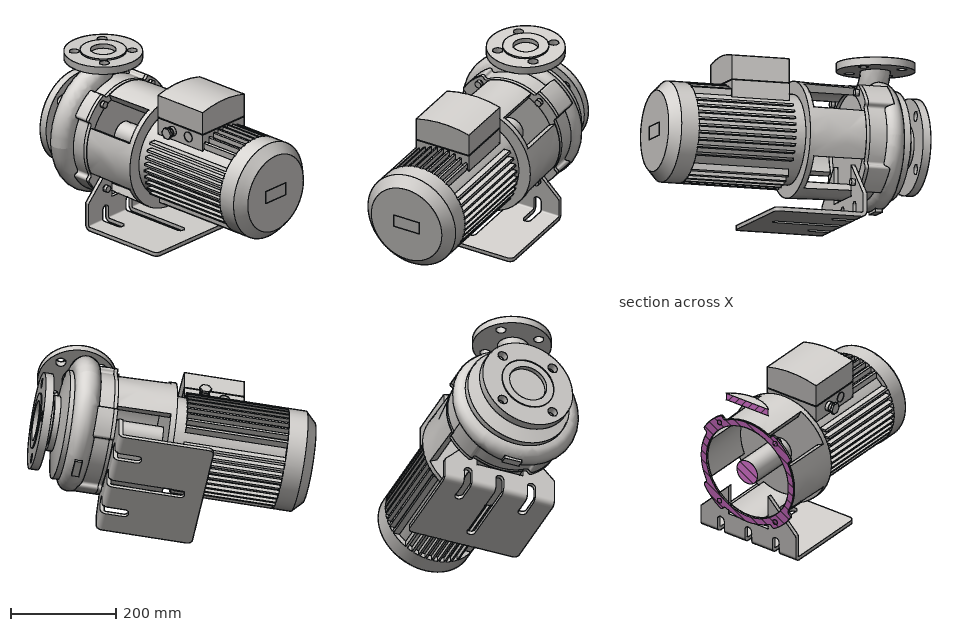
import cadquery as cq
import math


TOTAL_LENGTH = 528.0
DISCHARGE_HEIGHT = 160.0
FOOT_DEPTH = 160.0
VOLUTE_X = 80.0

BORE_DEPTH = 9.0
PIPE_WALL = 5.0
FLANGE_HOLE_D = 19.0
SUCTION_D = 185.0
SUCTION_BORE_D = 76.1
SUCTION_PCD = 145.0
SUCTION_THICKNESS = 16.0
SUCTION_FACE_D = 106.1
SUCTION_FACE_HEIGHT = 2.0
DISCHARGE_D = 150.0
DISCHARGE_BORE_D = 48.3
DISCHARGE_PCD = 110.0
DISCHARGE_THICKNESS = 15.0
DISCHARGE_FACE_D = 88.0
DISCHARGE_FACE_HEIGHT = 3.0

HUB_X = 27.5
COVER_X = 38.7
COVER_RIM_X = 47.2
COVER_D = 208.36
CASING_BACK_X = 132.0
BACK_R = 110.0
PAD_R = 120.7
PAD_HALF_ANGLE = 15.0
PAD_FILLET = 5.0
VOLUTE_MIN_OUTER_R = 120.0
VOLUTE_MAX_OUTER_R = 134.91
VOLUTE_MIN_R = 20.0
VOLUTE_MAX_R = 25.0
VOLUTE_TONGUE_ANGLE = 60.0
SPIRAL_SECTIONS = 13
OUTLET_SECTIONS = 25
DRAIN_LENGTH = 14.0
DRAIN_WIDTH = 35.0
DRAIN_Z = -131.5

LANTERN_PLATE = 7.0
LANTERN_BORE_R = 96.5
STRUT_INNER_R = 95.5
STRUT_FRONT_R = 109.0
STRUT_HALF_ANGLE = 25.3
REAR_DISC_X = 242.0
REAR_DISC_THICKNESS = 11.0
REAR_DISC_D = 223.0

BOLT_Y = 66.0
BOLT_Z = 86.5
BOLT_HEAD_D = 13.0
BOLT_HEAD_HEIGHT = 8.0
BOLT_SHANK_D = 9.0
BOLT_ENGAGEMENT = 20.0

FOOT_PLATE = 8.0
FOOT_WIDTH = 225.0
FOOT_END_X = 323.5
FOOT_CORNER_R = 10.0
FOOT_BEND_R = 3.0
FOOT_SHOULDER_NEAR_Z = -104.0
FOOT_SHOULDER_FAR_Z = -115.0
FOOT_SLOT_WIDTH = 16.0
FOOT_SLOT_PITCH = 65.0
FOOT_SLOT_TOP_Z = -123.0
FOOT_SIDE_SLOT_END_X = 192.0
FOOT_MIDDLE_SLOT_END_X = 288.0
FOOT_SHOULDER_R = 5.0

SHAFT_D = 50.0
MOTOR_BODY_D = 173.0
MOTOR_D = 193.0
FIN_START_X = 276.0
FIN_END_X = 472.0
FIN_THICKNESS = 3.6
FIN_PITCH = 13.15
FINS_PER_SIDE = 9
COWL_CONE_X = 507.7
COWL_END_X = 527.0
COWL_END_D = 155.0
BADGE_WIDTH = 56.0
BADGE_HEIGHT = 25.0

BOX_LENGTH = 116.0
BOX_WIDTH = 116.0
BOX_BOTTOM_Z = 63.0
BOX_EDGE_Z = 144.8
BOX_CROWN_Z = 152.5
BOX_JOINT_Z = 97.8
BOX_JOINT_SIZE = 1.0
ENTRY_Z = 82.2
GLAND_X = 314.0
BLANK_X = 354.0
BLANK_D = 20.0
BLANK_DEPTH = 1.0
GLAND_COLLAR_D = 19.0
GLAND_COLLAR_LENGTH = 7.0
GLAND_NECK_D = 16.0
GLAND_NECK_LENGTH = 6.0
GLAND_HEX_FLATS = 20.0
GLAND_HEX_LENGTH = 5.0
GLAND_HEX_TURN = 30.0

LANTERN_STRUT_X = CASING_BACK_X + LANTERN_PLATE
MOTOR_X = REAR_DISC_X + REAR_DISC_THICKNESS
FOOT_BACK_X = LANTERN_STRUT_X + FOOT_PLATE
DIAGONALS = (45, 135, 225, 315)
SIDES = (-1, 1)


def rod(x_start, x_end, diameter, y=0.0, z=0.0):
    """Cylinder along X."""
    return cq.Workplane("YZ", origin=(x_start, y, z)).circle(diameter / 2).extrude(x_end - x_start)


def block(x_start, x_end, y_start, y_end, z_start, z_end):
    size = (x_end - x_start, y_end - y_start, z_end - z_start)
    return cq.Workplane("XY").box(*size, centered=False).translate((x_start, y_start, z_start))


def turned(profile, angle=360):
    """Solid turned about the X axis from (x, radius) points, starting on the +Y side."""
    return cq.Workplane("XY").polyline(profile).close().revolve(angle, (0, 0, 0), (1, 0, 0))


def polar(radius, angle):
    """(y, z) at a radius and an angle in degrees."""
    return (radius * math.cos(math.radians(angle)), radius * math.sin(math.radians(angle)))


def padded_disc(x_start, x_end):
    """Round disc with four filleted bolting pads on its diagonals."""
    gap_angle = 45 - PAD_HALF_ANGLE
    outline = cq.Workplane("YZ", origin=(x_start, 0, 0)).moveTo(*polar(BACK_R, -gap_angle))
    for diagonal in DIAGONALS:
        pad_start = diagonal - PAD_HALF_ANGLE
        pad_end = diagonal + PAD_HALF_ANGLE
        outline = (
            outline.threePointArc(polar(BACK_R, pad_start - gap_angle), polar(BACK_R, pad_start))
            .lineTo(*polar(PAD_R, pad_start))
            .threePointArc(polar(PAD_R, diagonal), polar(PAD_R, pad_end))
            .lineTo(*polar(BACK_R, pad_end))
        )
    return outline.close().extrude(x_end - x_start).edges("|X").fillet(PAD_FILLET)


def round_section(center_y, center_z, tangent_y, tangent_z, radius):
    plane = cq.Plane(
        origin=(VOLUTE_X, center_y, center_z), xDir=(1, 0, 0), normal=(0, tangent_y, tangent_z)
    )
    return cq.Workplane(plane).circle(radius).wires().val()


def ring_section(angle, center_r, radius):
    """Volute section at an angle in degrees, counted from -Y towards +Z."""
    c = math.cos(math.radians(angle))
    s = math.sin(math.radians(angle))
    return round_section(-center_r * c, center_r * s, s, c, radius)


def volute_spiral():
    """Round passage that is constant over the top and grows along the bottom half."""
    small_r = VOLUTE_MIN_OUTER_R - VOLUTE_MIN_R
    large_r = VOLUTE_MAX_OUTER_R - VOLUTE_MAX_R
    constant = (
        cq.Workplane("XZ")
        .center(VOLUTE_X, small_r)
        .circle(VOLUTE_MIN_R)
        .revolve(180 - VOLUTE_TONGUE_ANGLE, (0, -small_r, 0), (1, -small_r, 0))
    )
    constant = constant.rotate((0, 0, 0), (1, 0, 0), -90)
    sections = []
    for i in range(SPIRAL_SECTIONS):
        part = i / (SPIRAL_SECTIONS - 1)
        center_r = small_r + part * (large_r - small_r)
        radius = VOLUTE_MIN_R + part * (VOLUTE_MAX_R - VOLUTE_MIN_R)
        sections.append(ring_section(180 + 180 * part, center_r, radius))
    growing = cq.Workplane(cq.Solid.makeLoft(sections))
    return constant.union(growing)


def volute_outlet():
    """Passage that follows the spiral up the -Y side, then bends back to the discharge axis."""
    end_z = DISCHARGE_HEIGHT - DISCHARGE_FACE_HEIGHT
    ring_r = VOLUTE_MAX_OUTER_R - VOLUTE_MAX_R
    bend_r = (end_z**2 - ring_r**2) / (2 * ring_r)
    turn_angle = math.degrees(math.atan2(end_z, bend_r))
    end_radius = DISCHARGE_BORE_D / 2 + PIPE_WALL
    turn = math.radians(turn_angle)
    ring_length = turn * ring_r
    path_length = ring_length + turn * bend_r

    sections = []
    for i in range(OUTLET_SECTIONS):
        part = i / (OUTLET_SECTIONS - 1)
        travelled = part * path_length
        radius = VOLUTE_MAX_R + part * (end_radius - VOLUTE_MAX_R)
        if travelled <= ring_length:
            sections.append(ring_section(math.degrees(travelled / ring_r), ring_r, radius))
        else:
            angle_left = math.degrees((path_length - travelled) / bend_r)
            across, up = polar(bend_r, angle_left)
            sections.append(round_section(across - bend_r, end_z - up, up, across, radius))
    return cq.Workplane(cq.Solid.makeLoft(sections))


def suction_side():
    """Flange, neck, hub and conical cover in front of the volute."""
    flange_back = SUCTION_FACE_HEIGHT + SUCTION_THICKNESS
    neck_r = SUCTION_BORE_D / 2 + PIPE_WALL
    return turned([
        (0, 0),
        (0, SUCTION_FACE_D / 2),
        (SUCTION_FACE_HEIGHT, SUCTION_FACE_D / 2),
        (SUCTION_FACE_HEIGHT, SUCTION_D / 2),
        (flange_back, SUCTION_D / 2),
        (flange_back, neck_r),
        (HUB_X, neck_r),
        (HUB_X, SUCTION_FACE_D / 2),
        (COVER_X, SUCTION_FACE_D / 2),
        (COVER_RIM_X, COVER_D / 2),
        (VOLUTE_X, COVER_D / 2),
        (VOLUTE_X, 0),
    ])


def discharge_flange():
    face_z = DISCHARGE_HEIGHT - DISCHARGE_FACE_HEIGHT
    plane = cq.Workplane("XY", origin=(VOLUTE_X, 0, face_z))
    flange = plane.circle(DISCHARGE_D / 2).extrude(-DISCHARGE_THICKNESS)
    return flange.union(plane.circle(DISCHARGE_FACE_D / 2).extrude(DISCHARGE_FACE_HEIGHT))


def flange_drills():
    """Bores and bolt holes of both flanges."""
    suction_holes = (
        cq.Workplane("YZ")
        .polarArray(SUCTION_PCD / 2, DIAGONALS[0], 360, len(DIAGONALS))
        .circle(FLANGE_HOLE_D / 2)
        .extrude(SUCTION_FACE_HEIGHT + SUCTION_THICKNESS)
    )
    face = cq.Workplane("XY", origin=(VOLUTE_X, 0, DISCHARGE_HEIGHT))
    discharge_holes = (
        face.polarArray(DISCHARGE_PCD / 2, DIAGONALS[0], 360, len(DIAGONALS))
        .circle(FLANGE_HOLE_D / 2)
        .extrude(-(DISCHARGE_FACE_HEIGHT + DISCHARGE_THICKNESS))
    )
    suction_bore = rod(0, BORE_DEPTH, SUCTION_BORE_D)
    discharge_bore = face.circle(DISCHARGE_BORE_D / 2).extrude(-BORE_DEPTH)
    return suction_holes.union(suction_bore).union(discharge_holes).union(discharge_bore)


def make_casing():
    drain_pad = block(
        VOLUTE_X - DRAIN_LENGTH / 2, VOLUTE_X + DRAIN_LENGTH / 2,
        -DRAIN_WIDTH / 2, DRAIN_WIDTH / 2,
        DRAIN_Z, -BACK_R,
    )
    casing = suction_side().union(padded_disc(VOLUTE_X, CASING_BACK_X))
    casing = casing.union(volute_spiral()).union(volute_outlet())
    return casing.union(discharge_flange()).union(drain_pad).cut(flange_drills())


def make_lantern():
    """Padded front ring, four struts and a rear disc that centres the motor shaft."""
    ring = padded_disc(CASING_BACK_X, LANTERN_STRUT_X)
    lantern = ring.cut(rod(CASING_BACK_X, LANTERN_STRUT_X, 2 * LANTERN_BORE_R))

    strut_share = (REAR_DISC_X - LANTERN_STRUT_X) / (MOTOR_X - LANTERN_STRUT_X)
    strut_back_r = STRUT_FRONT_R + strut_share * (REAR_DISC_D / 2 - STRUT_FRONT_R)
    disc_profile = [
        (REAR_DISC_X, SHAFT_D / 2),
        (REAR_DISC_X, strut_back_r),
        (MOTOR_X, REAR_DISC_D / 2),
        (MOTOR_X, SHAFT_D / 2),
    ]
    strut_profile = [
        (LANTERN_STRUT_X, STRUT_INNER_R),
        (LANTERN_STRUT_X, STRUT_FRONT_R),
        (REAR_DISC_X, strut_back_r),
        (REAR_DISC_X, STRUT_INNER_R),
    ]
    lantern = lantern.union(turned(disc_profile))
    strut = turned(strut_profile, 2 * STRUT_HALF_ANGLE)
    for middle_angle in (0, 90, 180, 270):
        turn = middle_angle - STRUT_HALF_ANGLE
        lantern = lantern.union(strut.rotate((0, 0, 0), (1, 0, 0), turn))
    return lantern


def make_foot():
    """Bent plate with sloping ears that clear the bottom strut, and three slots over the bend."""
    half_width = FOOT_WIDTH / 2
    half_notch = BACK_R * math.sin(math.radians(STRUT_HALF_ANGLE))
    notch_z = -BACK_R
    near_ear_z = FOOT_SHOULDER_NEAR_Z + half_width - half_notch
    far_ear_z = FOOT_SHOULDER_FAR_Z + half_width - half_notch
    outline = (
        cq.Workplane("YZ", origin=(LANTERN_STRUT_X, 0, 0))
        .polyline([
            (-half_width, -FOOT_DEPTH),
            (-half_width, FOOT_SHOULDER_NEAR_Z),
            (-half_notch, near_ear_z),
            (-half_notch, notch_z),
            (half_notch, notch_z),
            (half_notch, far_ear_z),
            (half_width, FOOT_SHOULDER_FAR_Z),
            (half_width, -FOOT_DEPTH),
        ])
        .close()
        .extrude(FOOT_END_X - LANTERN_STRUT_X)
    )
    for corner in ((-half_width, FOOT_SHOULDER_NEAR_Z), (half_width, FOOT_SHOULDER_FAR_Z)):
        middle_x = (LANTERN_STRUT_X + FOOT_END_X) / 2
        shoulder = cq.selectors.NearestToPointSelector((middle_x, *corner))
        outline = outline.edges(shoulder).fillet(FOOT_SHOULDER_R)
    base_top = -FOOT_DEPTH + FOOT_PLATE
    bent_plate = (
        cq.Workplane("XZ", origin=(0, half_width, 0))
        .polyline([
            (LANTERN_STRUT_X, 0),
            (LANTERN_STRUT_X, -FOOT_DEPTH),
            (FOOT_END_X, -FOOT_DEPTH),
            (FOOT_END_X, base_top),
            (FOOT_BACK_X, base_top),
            (FOOT_BACK_X, 0),
        ])
        .close()
        .extrude(FOOT_WIDTH)
    )
    bent_plate = bent_plate.edges("|Y and <X and <Z").fillet(FOOT_BEND_R + FOOT_PLATE)
    inner_corner = cq.selectors.NearestToPointSelector((FOOT_BACK_X, 0, base_top))
    bent_plate = bent_plate.edges(inner_corner).fillet(FOOT_BEND_R)
    bent_plate = bent_plate.edges("|Z and >X").fillet(FOOT_CORNER_R)
    foot = bent_plate.intersect(outline)
    for side in SIDES:
        foot = foot.cut(foot_slot(side * FOOT_SLOT_PITCH, FOOT_SIDE_SLOT_END_X))
    return foot.cut(foot_slot(0, FOOT_MIDDLE_SLOT_END_X))


def foot_slot(y, slot_end_x):
    """Slot cutter that is round at its upper end and at its end in the base."""
    radius = FOOT_SLOT_WIDTH / 2
    top_z = FOOT_SLOT_TOP_Z - radius
    end_x = slot_end_x - radius
    slot = block(LANTERN_STRUT_X, end_x, y - radius, y + radius, -FOOT_DEPTH, top_z)
    round_top = rod(LANTERN_STRUT_X, end_x, FOOT_SLOT_WIDTH, y, top_z)
    round_end = cq.Workplane("XY", origin=(end_x, y, -FOOT_DEPTH)).circle(radius).extrude(FOOT_PLATE)
    return slot.union(round_top).union(round_end)


def motor_fins():
    """Level fins on both sides, upright fins above and below."""
    fins = cq.Workplane("XY")
    reach = MOTOR_D / 2
    for i in range(FINS_PER_SIDE):
        low = (i - (FINS_PER_SIDE - 1) / 2) * FIN_PITCH - FIN_THICKNESS / 2
        high = low + FIN_THICKNESS
        fins = fins.union(block(FIN_START_X, FIN_END_X, -reach, reach, low, high))
        fins = fins.union(block(FIN_START_X, FIN_END_X, low, high, -reach, reach))
    return fins.intersect(rod(FIN_START_X, FIN_END_X, MOTOR_D))


def make_motor(box_space):
    body = turned([
        (CASING_BACK_X, 0),
        (CASING_BACK_X, SHAFT_D / 2),
        (MOTOR_X, SHAFT_D / 2),
        (MOTOR_X, MOTOR_BODY_D / 2),
        (FIN_END_X, MOTOR_BODY_D / 2),
        (FIN_END_X, MOTOR_D / 2),
        (COWL_CONE_X, MOTOR_D / 2),
        (COWL_END_X, COWL_END_D / 2),
        (COWL_END_X, 0),
    ])
    badge = block(
        COWL_END_X, TOTAL_LENGTH, -BADGE_WIDTH / 2, BADGE_WIDTH / 2, -BADGE_HEIGHT / 2, BADGE_HEIGHT / 2
    )
    return motor_fins().cut(box_space).union(body).union(badge)


def box_prism():
    """Box with a slightly arched lid."""
    half = BOX_WIDTH / 2
    return (
        cq.Workplane("YZ", origin=(FIN_START_X, 0, 0))
        .moveTo(-half, BOX_BOTTOM_Z)
        .lineTo(-half, BOX_EDGE_Z)
        .threePointArc((0, BOX_CROWN_Z), (half, BOX_EDGE_Z))
        .lineTo(half, BOX_BOTTOM_Z)
        .close()
        .extrude(BOX_LENGTH)
    )


def cable_gland():
    start = cq.Workplane("XZ", origin=(GLAND_X, -BOX_WIDTH / 2, ENTRY_Z))
    collar = start.circle(GLAND_COLLAR_D / 2).extrude(GLAND_COLLAR_LENGTH)
    neck = start.circle(GLAND_NECK_D / 2).extrude(GLAND_COLLAR_LENGTH + GLAND_NECK_LENGTH)
    hexagon = (
        start.workplane(offset=GLAND_COLLAR_LENGTH + GLAND_NECK_LENGTH)
        .transformed(rotate=(0, 0, GLAND_HEX_TURN))
        .polygon(6, GLAND_HEX_FLATS, circumscribed=True)
        .extrude(GLAND_HEX_LENGTH)
    )
    return collar.union(neck).union(hexagon)


def make_terminal_box(box_space):
    """Box seated on the round motor body, with a lid joint, a gland and a blanked entry."""
    box = box_space.cut(rod(FIN_START_X, FIN_START_X + BOX_LENGTH, MOTOR_BODY_D))
    joint = (
        cq.Workplane("XY", origin=(FIN_START_X + BOX_LENGTH / 2, 0, BOX_JOINT_Z))
        .rect(BOX_LENGTH, BOX_WIDTH)
        .rect(BOX_LENGTH - 2 * BOX_JOINT_SIZE, BOX_WIDTH - 2 * BOX_JOINT_SIZE)
        .extrude(BOX_JOINT_SIZE)
    )
    blank = (
        cq.Workplane("XZ", origin=(BLANK_X, -BOX_WIDTH / 2, ENTRY_Z))
        .circle(BLANK_D / 2)
        .extrude(-BLANK_DEPTH)
    )
    return box.cut(joint).cut(blank).union(cable_gland())


def make_bolt(y, z, seat_x):
    head = rod(seat_x, seat_x + BOLT_HEAD_HEIGHT, BOLT_HEAD_D, y, z)
    return head.union(bolt_shank(y, z, seat_x))


def bolt_shank(y, z, seat_x):
    return rod(CASING_BACK_X - BOLT_ENGAGEMENT, seat_x, BOLT_SHANK_D, y, z)


box_space = box_prism()
casing = make_casing()
lantern = make_lantern()
foot = make_foot()
motor = make_motor(box_space)
terminal_box = make_terminal_box(box_space)

bolts = []
for side in SIDES:
    for level in SIDES:
        y = side * BOLT_Y
        z = level * BOLT_Z
        seat_x = LANTERN_STRUT_X if level > 0 else FOOT_BACK_X
        shank = bolt_shank(y, z, seat_x)
        casing = casing.cut(shank)
        lantern = lantern.cut(shank)
        foot = foot.cut(shank)
        bolts.append(make_bolt(y, z, seat_x))

result = cq.Compound.makeCompound([
    casing.val(),
    lantern.val(),
    foot.val(),
    motor.val(),
    terminal_box.val(),
    *[bolt.val() for bolt in bolts],
])